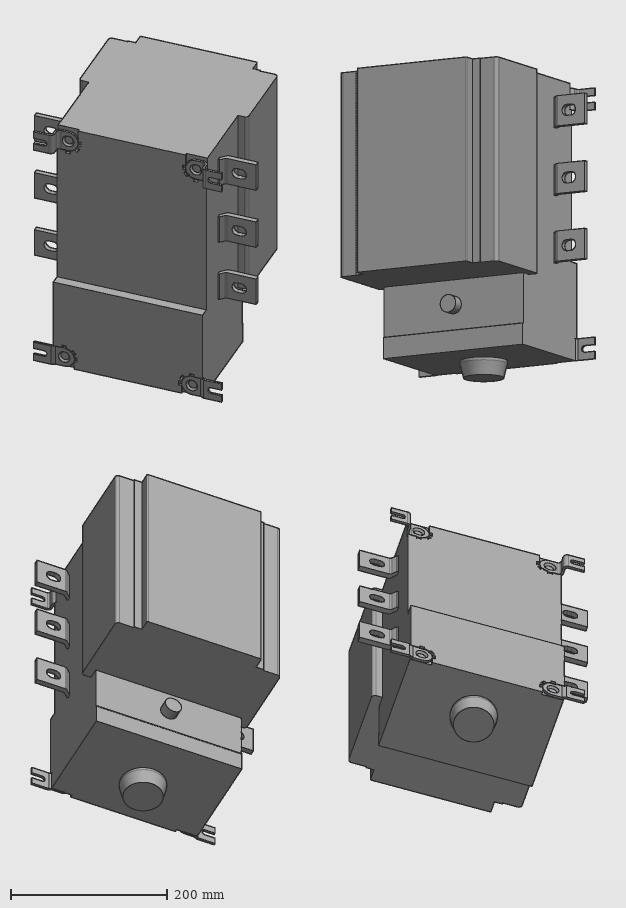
import cadquery as cq

TOP_Z = 381.0
OVERLAP = 4.0

housing_half_width = 103.0
housing_bottom_z = 22.0
front_y = 15.0
housing_back_y = 139.0

step_front_y = 1.5
step_top_z = 149.5
band_top_z = 50.0
band_back_y = 140.5

cover_half_width = 116.2
cover_front_y = 124.2
cover_back_y = 229.5
cover_bottom_z = 115.5
cover_corner_radius = 4.5
cap_half_width = 80.8
cap_back_y = 247.0
cap_corner_radius = 1.5
lip_half_width = 91.5
lip_thickness = 1.5

pin_radius = 11.5
pin_tip_y = 153.5
pin_z = 82.5

knob_y = 61.7
knob_radius = 30.5
knob_tip_radius = 26.0
knob_collar_height = 4.0

terminal_tip_x = 152.8
terminal_back_y = 68.5
terminal_low_y = 55.2
terminal_thickness = 7.0
terminal_bend_x = 111.3
terminal_bend_radius = 4.0
terminal_height = 39.2
terminal_mid_z = 248.5
terminal_pitch = 88.0
terminal_slot_x = 129.5
terminal_slot_length = 20.0
terminal_slot_width = 14.5

bracket_tip_x = 129.5
bracket_x = 88.0
bracket_top_z = 361.0
bracket_bottom_z = 37.0
bracket_radius = 14.0
bracket_thickness = 3.0
leg_outer_x = 105.0
foot_bend_radius = 2.5
plate_bend_radius = 4.5
joggle_inner_x = 100.0
bracket_slot_end_x = 111.0
bracket_slot_width = 8.8
screw_radius = 8.0
screw_floor_radius = 5.7

pocket_depth = 4.0
notch_width = 6.0
notch_reach = 18.0
notch_angles = (0, -36, -90)


def box(x0, x1, y0, y1, z0, z1):
    """Box between opposite corners."""
    return cq.Workplane("XY").box(x1 - x0, y1 - y0, z1 - z0, centered=False).translate((x0, y0, z0))


def slab(half_width, y0, y1, z0, z1):
    """Box symmetric about X = 0."""
    return box(-half_width, half_width, y0, y1, z0, z1)


def make_housing():
    housing = slab(housing_half_width, front_y, housing_back_y, housing_bottom_z, TOP_Z)
    step = slab(housing_half_width, step_front_y, housing_back_y, housing_bottom_z, step_top_z)
    band = slab(housing_half_width, front_y, band_back_y, housing_bottom_z, band_top_z)
    return housing.union(step).union(band)


def make_cover():
    cover = slab(cover_half_width, cover_front_y, cover_back_y, cover_bottom_z, TOP_Z)
    cover = cover.edges("|Z").fillet(cover_corner_radius)
    cap = slab(cap_half_width, cover_back_y - OVERLAP, cap_back_y, cover_bottom_z, TOP_Z)
    cap = cap.edges("|Z and >Y").fillet(cap_corner_radius)
    lip = slab(lip_half_width, cover_back_y, cover_back_y + lip_thickness, cover_bottom_z, TOP_Z)
    return cover.union(cap).union(lip)


def make_pin():
    length = pin_tip_y - housing_back_y + OVERLAP
    return cq.Workplane("XZ", origin=(0, pin_tip_y, pin_z)).circle(pin_radius).extrude(length)


def make_knob():
    collar_z = housing_bottom_z - knob_collar_height
    profile = [
        (0, 0),
        (knob_tip_radius, 0),
        (knob_radius, collar_z),
        (knob_radius, housing_bottom_z),
        (0, housing_bottom_z),
    ]
    knob = cq.Workplane("XZ").polyline(profile).close().revolve(360, (0, 0), (0, 1))
    return knob.translate((0, knob_y, 0))


def make_terminal(z):
    """Right-hand terminal bar: flat slotted blade with a 45 degree crank into the housing."""
    blade_front_y = terminal_back_y - terminal_thickness
    root_x = terminal_bend_x - (blade_front_y - terminal_low_y)
    end_x = housing_half_width - OVERLAP
    profile = [
        (terminal_tip_x, blade_front_y),
        (terminal_tip_x, terminal_back_y),
        (terminal_bend_x, terminal_back_y),
        (end_x, terminal_back_y - (terminal_bend_x - end_x)),
        (end_x, terminal_low_y),
        (root_x, terminal_low_y),
        (terminal_bend_x, blade_front_y),
    ]
    bar = cq.Workplane("XY").polyline(profile).close().extrude(terminal_height)
    bar = bar.translate((0, 0, z - terminal_height / 2))
    for bend_y in (terminal_back_y, blade_front_y):
        bend_edge = cq.selectors.NearestToPointSelector((terminal_bend_x, bend_y, z))
        bar = bar.edges(bend_edge).fillet(terminal_bend_radius)
    slot = (
        cq.Workplane("XZ", origin=(terminal_slot_x, terminal_back_y + OVERLAP, z))
        .slot2D(terminal_slot_length, terminal_slot_width)
        .extrude(terminal_thickness + 2 * OVERLAP)
    )
    return bar.cut(slot)


def make_pocket(face_y, opening_z):
    """Right-hand pocket around (bracket_x, 0), open to the side and towards opening_z > 0."""
    floor_y = face_y + pocket_depth
    side_x = housing_half_width + OVERLAP
    inner_x = bracket_x - bracket_radius
    corner = box(inner_x, side_x, face_y, floor_y, 0, opening_z)
    strip = box(bracket_x, side_x, face_y, floor_y, -bracket_radius, 0)
    plane = cq.Workplane("XZ", origin=(bracket_x, floor_y, 0))
    pocket = corner.union(strip).union(plane.circle(bracket_radius).extrude(pocket_depth))
    for angle in notch_angles:
        notch = box(-notch_reach, 0, face_y, floor_y, -notch_width / 2, notch_width / 2)
        notch = notch.rotate((0, 0, 0), (0, 1, 0), angle)
        pocket = pocket.union(notch.translate((bracket_x, 0, 0)))
    return pocket


def crank_profile(plate_y):
    """Bent strip for a plate high above the foot: foot, upright leg, plate."""
    plate_back_y = plate_y + bracket_thickness
    leg_inner_x = leg_outer_x - bracket_thickness
    plate_end_x = bracket_x - bracket_radius
    points = [
        (bracket_tip_x, 0),
        (bracket_tip_x, bracket_thickness),
        (leg_outer_x, bracket_thickness),
        (leg_outer_x, plate_back_y),
        (plate_end_x, plate_back_y),
        (plate_end_x, plate_y),
        (leg_inner_x, plate_y),
        (leg_inner_x, 0),
    ]
    strip = cq.Workplane("XY").polyline(points).close().extrude(2 * bracket_radius)
    bends = (
        (leg_outer_x, bracket_thickness, foot_bend_radius),
        (leg_inner_x, 0, foot_bend_radius + bracket_thickness),
        (leg_inner_x, plate_y, plate_bend_radius),
        (leg_outer_x, plate_back_y, plate_bend_radius + bracket_thickness),
    )
    for x, y, radius in bends:
        bend_edge = cq.selectors.NearestToPointSelector((x, y, bracket_radius))
        strip = strip.edges(bend_edge).fillet(radius)
    return strip


def joggle_profile(plate_y):
    """Strip with a slight joggle, for a plate almost level with the foot."""
    plate_end_x = bracket_x - bracket_radius
    front = [(bracket_tip_x, 0), (leg_outer_x, 0), (joggle_inner_x, plate_y), (plate_end_x, plate_y)]
    back = [(x, y + bracket_thickness) for x, y in reversed(front)]
    return cq.Workplane("XY").polyline(front + back).close().extrude(2 * bracket_radius)


def make_bracket(strip, plate_y):
    """Right-hand bracket about Z = 0: rounded plate end, countersunk hole and open foot slot."""
    strip = strip.translate((0, 0, -bracket_radius))
    depth = front_y + pocket_depth + OVERLAP
    outline_plane = cq.Workplane("XZ", origin=(0, depth, 0))
    outline = outline_plane.center(bracket_x, 0).circle(bracket_radius).extrude(depth)
    straight = box(bracket_x, bracket_tip_x, 0, depth, -bracket_radius, bracket_radius)
    bracket = strip.intersect(outline.union(straight))

    half_slot = bracket_slot_width / 2
    slot_center_x = bracket_slot_end_x + half_slot
    slot = box(slot_center_x, bracket_tip_x, 0, depth, -half_slot, half_slot)
    slot_end = outline_plane.center(slot_center_x, 0).circle(half_slot).extrude(depth)

    countersink = (
        cq.Workplane("XZ", origin=(bracket_x, plate_y, 0))
        .circle(screw_radius)
        .workplane(offset=-bracket_thickness)
        .circle(screw_floor_radius)
        .loft()
    )
    return bracket.cut(slot).cut(slot_end).cut(countersink)


def both_sides(solid):
    """The solid together with its mirror image across X = 0."""
    return solid.union(solid.mirror("YZ"))


result = make_housing().union(make_cover()).union(make_pin()).union(make_knob())

for row in (-1, 0, 1):
    result = result.union(both_sides(make_terminal(terminal_mid_z + row * terminal_pitch)))

upper_plate_y = front_y + pocket_depth - bracket_thickness
upper_pocket = make_pocket(front_y, TOP_Z - bracket_top_z).translate((0, 0, bracket_top_z))
upper_bracket = make_bracket(crank_profile(upper_plate_y), upper_plate_y).translate((0, 0, bracket_top_z))
result = result.cut(both_sides(upper_pocket)).union(both_sides(upper_bracket))

lower_plate_y = step_front_y + pocket_depth - bracket_thickness
lower_pocket = make_pocket(step_front_y, bracket_bottom_z - housing_bottom_z).mirror("XY")
lower_pocket = lower_pocket.translate((0, 0, bracket_bottom_z))
lower_bracket = make_bracket(joggle_profile(lower_plate_y), lower_plate_y)
lower_bracket = lower_bracket.translate((0, 0, bracket_bottom_z))
result = result.cut(both_sides(lower_pocket)).union(both_sides(lower_bracket))